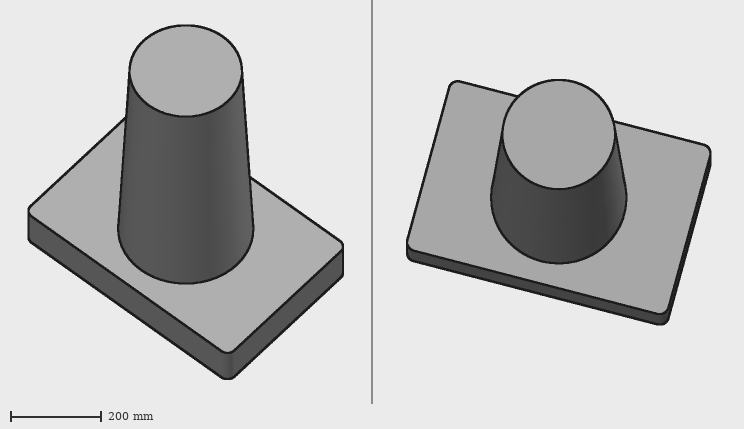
import cadquery as cq

total_height = 700.0

base_length = 600.0
base_width = 400.0
base_thickness = 100.0
corner_radius = 20.0

column_bottom_diameter = 300.0
column_top_diameter = 250.0
column_height = total_height - base_thickness


def make_base():
    """Plate with rounded vertical corners."""
    plate = cq.Workplane("XY").box(base_length, base_width, base_thickness, centered=(True, True, False))
    return plate.edges("|Z").fillet(corner_radius)


def make_column():
    """Solid cone frustum rising from the top face of the plate."""
    foot = cq.Vector(0, 0, base_thickness)
    return cq.Solid.makeCone(column_bottom_diameter / 2, column_top_diameter / 2, column_height, pnt=foot)


result = make_base().union(make_column())